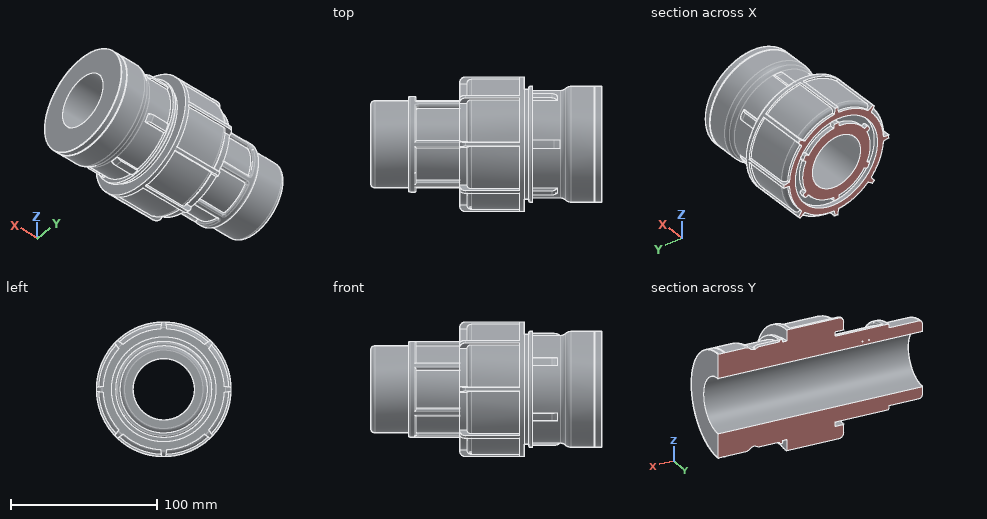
import cadquery as cq
import math

total_length = 158.0
collar_start = 25.9
collar_end = 31.2
nut_start = 60.8
nut_shoulder = 65.7
flange_start = 101.8
flange_end = 105.1
stop_ring_start = 108.0
stop_ring_end = 110.6
tube_end = 129.6
band_groove_start = 152.6

bore_radius = 41.73 / 2
spigot_radius = 59.61 / 2
collar_radius = 65.58 / 2
nut_recess_radius = 71.54 / 2
tube_radius = 73.65 / 2
neck_radius = 75.35 / 2
socket_radius = 79.32 / 2
nut_radius = 44.45
flange_radius = 92.1 / 2
flare_bend_radius = 5.2

spigot_fillet = 3.0
collar_fillet = 1.2
stop_ring_fillet = 0.9
nut_corner_radius = 3.1
grip_rib_corner_radius = 4.0
nut_recess_depth = 6.5
band_groove_width = 0.5
band_groove_depth = 0.15
end_chamfer_length = 0.4
end_chamfer_depth = 0.15

body_rib_count = 6
body_rib_width = 5.0
body_end = nut_start + nut_recess_depth

grip_rib_count = 8
grip_rib_top_width = 2.6
grip_rib_base_width = 4.4
grip_rib_embedment = 1.0

tab_radius = 38.3
tab_end_arc_radius = 5.7
tab_end_length = 4.0
crown_tab_width = 6.0
crown_tab_end = 129.4
side_tab_end = 127.8
side_tab_middle = 18.6
side_tab_root_width = 6.2
side_tab_taper = math.radians(11)
side_tab_root = 30.0

tolerance = 0.001
diagonal = math.sqrt(0.5)


def cylinder(start, end, radius):
    """Solid cylinder on the X axis between two stations."""
    return cq.Workplane("YZ").workplane(offset=start).circle(radius).extrude(end - start)


def turned(profile):
    """Revolve a closed profile in the XY plane around the X axis."""
    return profile.revolve(360, (0, 0, 0), (1, 0, 0))


def make_spigot():
    """Plain spigot, running on under the ribs and into the nut."""
    spigot = cylinder(0, body_end, spigot_radius)
    return spigot.faces("<X").edges().fillet(spigot_fillet)


def make_collar_and_ribs():
    """Collar and lengthwise ribs in one sleeve, with every outer edge rounded."""
    pockets = cylinder(collar_end, body_end, flange_radius)
    for index in range(body_rib_count // 2):
        rib_pair = (
            cq.Workplane("XY")
            .box(total_length, body_rib_width, 2 * flange_radius, centered=(False, True, True))
            .rotate((0, 0, 0), (1, 0, 0), index * 360 / body_rib_count)
        )
        pockets = pockets.cut(rib_pair)
    pockets = pockets.cut(cylinder(0, body_end, spigot_radius))
    sleeve = cylinder(collar_start, body_end, collar_radius).cut(pockets)

    def is_outer_corner(edge):
        on_surface = math.isclose(
            math.hypot(edge.startPoint().y, edge.startPoint().z), collar_radius, abs_tol=tolerance
        )
        middle = edge.Center().x
        at_collar_front = abs(middle - collar_start) < tolerance
        at_pocket_rim = collar_end - tolerance < middle < body_end - tolerance
        return on_surface and (at_collar_front or at_pocket_rim)

    return sleeve.edges().filter(is_outer_corner).fillet(collar_fillet)


def make_nut():
    """Union nut: stepped hub with a rounded shoulder, a rear flange and a front recess."""
    hub_radius = nut_radius - nut_corner_radius
    corner_drop = nut_corner_radius * (1 - diagonal)
    profile = (
        cq.Workplane("XY")
        .moveTo(nut_start, 0)
        .lineTo(nut_start, hub_radius)
        .lineTo(nut_shoulder, hub_radius)
        .threePointArc(
            (nut_shoulder + corner_drop, nut_radius - corner_drop),
            (nut_shoulder + nut_corner_radius, nut_radius),
        )
        .lineTo(flange_start, nut_radius)
        .lineTo(flange_start, flange_radius)
        .lineTo(flange_end, flange_radius)
        .lineTo(flange_end, 0)
        .close()
    )
    nut = turned(profile)
    for index in range(grip_rib_count):
        nut = nut.union(make_grip_rib(index * 360 / grip_rib_count))
    return nut.cut(cylinder(nut_start, body_end, nut_recess_radius))


def make_grip_rib(angle):
    """Tapered nut rib, rounded at its front end."""
    hub_radius = nut_radius - nut_corner_radius
    base_radius = hub_radius - grip_rib_embedment
    corner_drop = grip_rib_corner_radius * (1 - diagonal)
    envelope = turned(
        cq.Workplane("XY")
        .moveTo(nut_start, 0)
        .lineTo(nut_start, flange_radius - grip_rib_corner_radius)
        .threePointArc(
            (nut_start + corner_drop, flange_radius - corner_drop),
            (nut_start + grip_rib_corner_radius, flange_radius),
        )
        .lineTo(flange_start, flange_radius)
        .lineTo(flange_start, 0)
        .close()
    )
    section = (
        cq.Workplane("YZ")
        .workplane(offset=nut_start)
        .polyline(
            [
                (-grip_rib_base_width / 2, base_radius),
                (grip_rib_base_width / 2, base_radius),
                (grip_rib_top_width / 2, flange_radius),
                (-grip_rib_top_width / 2, flange_radius),
            ]
        )
        .close()
        .extrude(flange_start - nut_start)
    )
    return section.intersect(envelope).rotate((0, 0, 0), (1, 0, 0), angle)


def make_tube_and_socket():
    """Neck, tube and flared socket, with an S-shaped flare of two equal arcs."""
    rise = socket_radius - tube_radius
    bend_angle = math.acos(1 - rise / (2 * flare_bend_radius))
    bend_length = flare_bend_radius * math.sin(bend_angle)
    half_bend_length = flare_bend_radius * math.sin(bend_angle / 2)
    half_bend_rise = flare_bend_radius * (1 - math.cos(bend_angle / 2))
    socket_start = tube_end + 2 * bend_length
    groove_end = band_groove_start + band_groove_width
    groove_radius = socket_radius - band_groove_depth
    profile = (
        cq.Workplane("XY")
        .moveTo(flange_start, 0)
        .lineTo(flange_start, neck_radius)
        .lineTo(stop_ring_start, neck_radius)
        .lineTo(stop_ring_start, tube_radius)
        .lineTo(tube_end, tube_radius)
        .threePointArc(
            (tube_end + half_bend_length, tube_radius + half_bend_rise),
            (tube_end + bend_length, tube_radius + rise / 2),
        )
        .threePointArc(
            (socket_start - half_bend_length, socket_radius - half_bend_rise),
            (socket_start, socket_radius),
        )
        .lineTo(band_groove_start, socket_radius)
        .lineTo(band_groove_start, groove_radius)
        .lineTo(groove_end, groove_radius)
        .lineTo(groove_end, socket_radius)
        .lineTo(total_length - end_chamfer_length, socket_radius)
        .lineTo(total_length, socket_radius - end_chamfer_depth)
        .lineTo(total_length, 0)
        .close()
    )
    return turned(profile)


def make_stop_ring():
    """Ring at the front of the tube, rounded on the side that faces the nut."""
    ring = cylinder(stop_ring_start, stop_ring_end, socket_radius)
    return ring.faces("<X").edges().fillet(stop_ring_fillet)


def tab_envelope(end):
    """Turned body whose outer surface is the tab top, curving down at its rear end."""
    curve_start = end - tab_end_length
    centre_radius = tab_radius - tab_end_arc_radius
    mid_run = tab_end_length / 2
    mid_radius = centre_radius + math.sqrt(tab_end_arc_radius**2 - mid_run**2)
    end_radius = centre_radius + math.sqrt(tab_end_arc_radius**2 - tab_end_length**2)
    return turned(
        cq.Workplane("XY")
        .moveTo(stop_ring_start, 0)
        .lineTo(stop_ring_start, tab_radius)
        .lineTo(curve_start, tab_radius)
        .threePointArc((curve_start + mid_run, mid_radius), (end, end_radius))
        .lineTo(end, 0)
        .close()
    )


def side_tab_prism(facing, height):
    """Bar along X on the +Y or -Y flank, narrowing outwards along Y."""
    root_half_width = side_tab_root_width / 2
    outer_half_width = root_half_width - (flange_radius - side_tab_root) * math.tan(side_tab_taper)
    return (
        cq.Workplane("YZ")
        .polyline(
            [
                (facing * side_tab_root, height - root_half_width),
                (facing * side_tab_root, height + root_half_width),
                (facing * flange_radius, height + outer_half_width),
                (facing * flange_radius, height - outer_half_width),
            ]
        )
        .close()
        .extrude(total_length)
    )


def make_tabs():
    """Tabs at the crown and foot of the tube, and two on each flank."""
    crown_bars = cq.Workplane("XY").box(
        total_length, crown_tab_width, 2 * flange_radius, centered=(False, True, True)
    )
    tabs = tab_envelope(crown_tab_end).intersect(crown_bars)
    side_envelope = tab_envelope(side_tab_end)
    for facing in (-1, 1):
        for height in (-side_tab_middle, side_tab_middle):
            tabs = tabs.union(side_envelope.intersect(side_tab_prism(facing, height)))
    return tabs


result = (
    make_nut()
    .union(make_spigot())
    .union(make_collar_and_ribs())
    .union(make_tube_and_socket())
    .union(make_stop_ring())
    .union(make_tabs())
    .cut(cylinder(0, total_length, bore_radius))
)